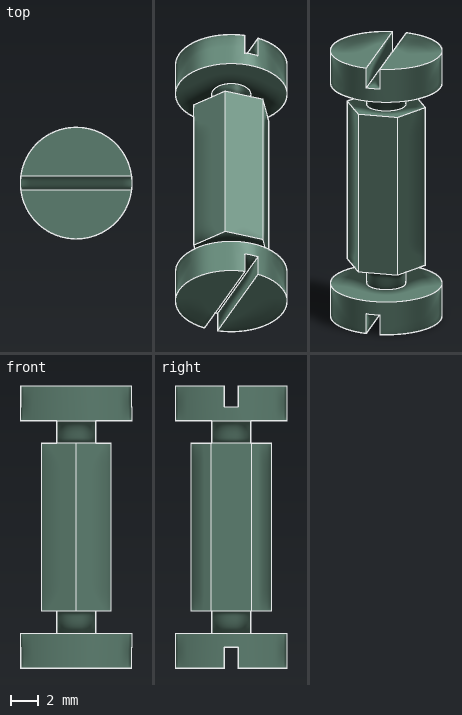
import cadquery as cq
import math

spacer_length = 12.0
spacer_across_flats = 5.0
hexagon_sides = 6
half_side_angle = 180 / hexagon_sides
spacer_across_corners = spacer_across_flats / math.cos(math.radians(half_side_angle))

head_diameter = 8.0
head_height = 2.5
slot_width = 1.0
slot_depth = 1.5
shank_diameter = 2.8
shank_length = 6.0
clamp_gap = 1.6

hole_depth = shank_length - clamp_gap
spacer_end_z = spacer_length / 2
head_seat_z = spacer_end_z + clamp_gap


def make_spacer():
    """Hexagonal bar with flats facing +X and -X and a blind hole in each end."""
    bar = (
        cq.Workplane("XY")
        .polygon(hexagon_sides, spacer_across_corners)
        .extrude(spacer_length / 2, both=True)
        .rotate((0, 0, 0), (0, 0, 1), half_side_angle)
    )
    for end_face in (">Z", "<Z"):
        bar = bar.faces(end_face).workplane().hole(shank_diameter, hole_depth)
    return bar


def make_screw():
    """Screw for the upper end, with its slot running along X."""
    head = (
        cq.Workplane("XY", origin=(0, 0, head_seat_z))
        .circle(head_diameter / 2)
        .extrude(head_height)
    )
    slot = (
        cq.Workplane("XY", origin=(0, 0, head_seat_z + head_height))
        .rect(head_diameter, slot_width)
        .extrude(-slot_depth)
    )
    shank = (
        cq.Workplane("XY", origin=(0, 0, head_seat_z))
        .circle(shank_diameter / 2)
        .extrude(-shank_length)
    )
    return head.cut(slot).union(shank)


spacer = make_spacer()

screws = []
for turn in (0, 180):
    screws.append(make_screw().rotate((0, 0, 0), (1, 0, 0), turn).solids().val())

result = cq.Compound.makeCompound([spacer.solids().val(), *screws])